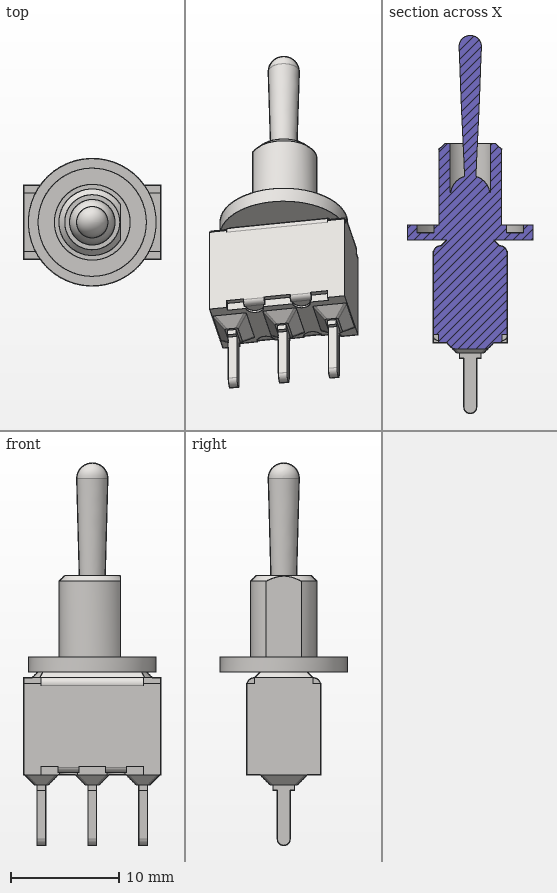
import cadquery as cq
import math

TOTAL_HEIGHT = 35.35

PIN_PITCH = 4.7
PIN_THICKNESS = 0.8
PIN_WIDTH = 1.2
SHOULDER_WIDTH = 2.0
SHOULDER_BOTTOM = 5.1

MOUND_TAPER = 45
MOUND_BOTTOM = 5.6
MOUND_LENGTH = 3.15
MOUND_WIDTH = 4.4
MOUND_CORNER_RADIUS = 0.3

CASE_LENGTH = 12.7
CASE_WIDTH = 6.85
CASE_BOTTOM = 6.55
CASE_TOP = 15.52
COVER_LENGTH = 9.48
COVER_BOTTOM = 7.3
COVER_ROUNDING = 0.75
END_LEDGE_WIDTH = 0.7
END_LEDGE_DEPTH = 0.55
SHEET_THICKNESS = 0.5

TAB_OFFSET = 2.2
TAB_LENGTH = 1.95
TAB_BOTTOM = 6.75
TAB_BEND_RADIUS = 0.45
NOTCH_DIAMETER = 1.65

NECK_TAPER = 45
NECK_BASE_RADIUS = 5.55
NECK_FLAT_OFFSET = CASE_WIDTH / 2 - COVER_ROUNDING

WASHER_DIAMETER = 11.8
WASHER_BOTTOM = 16.02
WASHER_TOP = 17.45
GROOVE_OUTER_DIAMETER = 10.0
GROOVE_INNER_DIAMETER = 7.0
GROOVE_DEPTH = 0.7

BUSHING_RADIUS = 3.08
BUSHING_TOP = 24.95
BUSHING_CHAMFER = 0.53
BUSHING_FLAT_X = 2.6
BORE_DIAMETER = 4.2

BALL_CENTER_Z = 20.15
LEVER_RADIUS_AT_BUSHING = 1.2
LEVER_TIP_RADIUS = 1.45


def box_between(length, width, bottom, top):
    """Box centred on the Z axis between two heights."""
    return cq.Workplane("XY", origin=(0, 0, bottom)).rect(length, width).extrude(top - bottom)


def make_case():
    """Case with ledged ends and a central metal cover rounded along its top edges."""
    ledge_z = CASE_TOP - END_LEDGE_DEPTH
    case = box_between(CASE_LENGTH, CASE_WIDTH, CASE_BOTTOM, ledge_z)
    crown_width = CASE_WIDTH - 2 * END_LEDGE_WIDTH
    case = case.union(box_between(CASE_LENGTH, crown_width, ledge_z, CASE_TOP))

    strip = box_between(COVER_LENGTH, CASE_WIDTH, CASE_BOTTOM, CASE_TOP)
    base_width = CASE_WIDTH - 2 * SHEET_THICKNESS
    base = box_between(COVER_LENGTH, base_width, CASE_BOTTOM, COVER_BOTTOM)
    cover = box_between(COVER_LENGTH, CASE_WIDTH, COVER_BOTTOM, CASE_TOP)
    cover = cover.edges("|X and >Z").fillet(COVER_ROUNDING)
    return case.cut(strip).union(base).union(cover)


def make_tabs():
    """Cover tabs with outer bends, two on each long side."""
    tabs = box_between(TAB_LENGTH, CASE_WIDTH, TAB_BOTTOM, COVER_BOTTOM)
    tabs = tabs.edges("|X and <Z").fillet(TAB_BEND_RADIUS)
    return tabs.translate((TAB_OFFSET, 0, 0)).union(tabs.translate((-TAB_OFFSET, 0, 0)))


def make_tab_notches():
    """Half-round notches in the underside of the case, below the tabs."""
    base_face_y = CASE_WIDTH / 2 - SHEET_THICKNESS
    return (
        cq.Workplane("XY", origin=(0, 0, CASE_BOTTOM))
        .rect(2 * TAB_OFFSET, 2 * base_face_y, forConstruction=True)
        .vertices()
        .circle(NOTCH_DIAMETER / 2)
        .extrude(TAB_BOTTOM - CASE_BOTTOM)
    )


def make_neck():
    """Cone under the washer, trimmed by sloping flats facing -Y and +Y."""
    height = WASHER_BOTTOM - CASE_TOP
    cone = (
        cq.Workplane("XY", origin=(0, 0, CASE_TOP))
        .circle(NECK_BASE_RADIUS)
        .extrude(height, taper=NECK_TAPER)
    )
    flats = (
        cq.Workplane("XY", origin=(0, 0, CASE_TOP))
        .rect(CASE_LENGTH, 2 * NECK_FLAT_OFFSET)
        .extrude(height, taper=NECK_TAPER)
    )
    return cone.intersect(flats)


def make_washer():
    washer = cq.Workplane("XY", origin=(0, 0, WASHER_BOTTOM)).circle(WASHER_DIAMETER / 2)
    washer = washer.extrude(WASHER_TOP - WASHER_BOTTOM)
    groove = (
        cq.Workplane("XY", origin=(0, 0, WASHER_TOP - GROOVE_DEPTH))
        .circle(GROOVE_OUTER_DIAMETER / 2)
        .circle(GROOVE_INNER_DIAMETER / 2)
        .extrude(GROOVE_DEPTH)
    )
    return washer.cut(groove)


def make_bushing_and_lever():
    """Bushing, pivot ball and lever revolved as one profile, then flattened on +X."""
    ball_radius = BORE_DIAMETER / 2
    tip_base_z = TOTAL_HEIGHT - LEVER_TIP_RADIUS
    lever_slope = (LEVER_TIP_RADIUS - LEVER_RADIUS_AT_BUSHING) / (tip_base_z - BUSHING_TOP)

    root_radius = LEVER_RADIUS_AT_BUSHING - lever_slope * (BUSHING_TOP - BALL_CENTER_Z - ball_radius)
    root_z = BALL_CENTER_Z + math.sqrt(ball_radius**2 - root_radius**2)
    ball_mid = ball_radius * math.sqrt(0.5)
    tip_mid = LEVER_TIP_RADIUS * math.sqrt(0.5)

    body = (
        cq.Workplane("XZ")
        .moveTo(0, WASHER_BOTTOM)
        .lineTo(BUSHING_RADIUS, WASHER_BOTTOM)
        .lineTo(BUSHING_RADIUS, BUSHING_TOP - BUSHING_CHAMFER)
        .lineTo(BUSHING_RADIUS - BUSHING_CHAMFER, BUSHING_TOP)
        .lineTo(ball_radius, BUSHING_TOP)
        .lineTo(ball_radius, BALL_CENTER_Z)
        .threePointArc((ball_mid, BALL_CENTER_Z + ball_mid), (root_radius, root_z))
        .lineTo(LEVER_TIP_RADIUS, tip_base_z)
        .threePointArc((tip_mid, tip_base_z + tip_mid), (0, TOTAL_HEIGHT))
        .close()
        .revolve(360, (0, 0, 0), (0, 1, 0))
    )
    keep = box_between(2 * BUSHING_FLAT_X, 2 * BUSHING_RADIUS, WASHER_BOTTOM, TOTAL_HEIGHT)
    return body.intersect(keep.union(keep.translate((-BUSHING_FLAT_X, 0, 0))))


def make_terminal():
    """Round-ended flat pin, its shoulder and the tapered sealing mound."""
    tip_radius = PIN_WIDTH / 2
    pin = (
        cq.Workplane("YZ")
        .moveTo(-tip_radius, CASE_BOTTOM)
        .lineTo(-tip_radius, tip_radius)
        .threePointArc((0, 0), (tip_radius, tip_radius))
        .lineTo(tip_radius, CASE_BOTTOM)
        .close()
        .extrude(PIN_THICKNESS / 2, both=True)
    )
    shoulder = box_between(PIN_THICKNESS, SHOULDER_WIDTH, SHOULDER_BOTTOM, CASE_BOTTOM)
    mound = (
        cq.Workplane("XY", origin=(0, 0, CASE_BOTTOM))
        .rect(MOUND_LENGTH, MOUND_WIDTH)
        .extrude(MOUND_BOTTOM - CASE_BOTTOM, taper=MOUND_TAPER)
        .edges("not (<Z or >Z)")
        .fillet(MOUND_CORNER_RADIUS)
    )
    return pin.union(shoulder).union(mound)


result = make_case().cut(make_tab_notches()).union(make_tabs())
result = result.union(make_neck()).union(make_washer()).union(make_bushing_and_lever())
for step in (-1, 0, 1):
    result = result.union(make_terminal().translate((step * PIN_PITCH, 0, 0)))